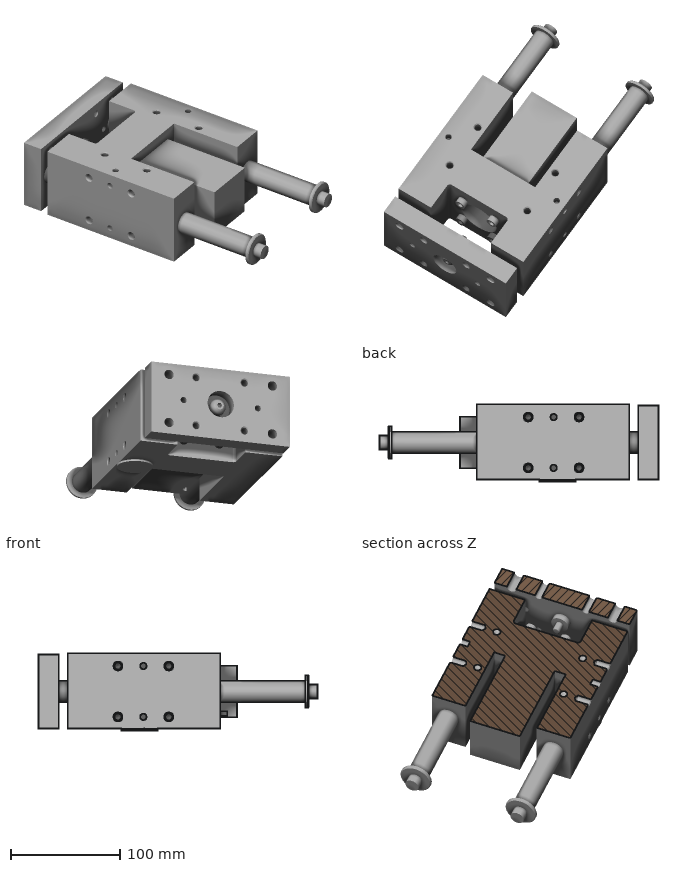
import cadquery as cq
import math

OVERLAP = 1.3

ROD_SPREAD = 52.0
ROD_DIA = 20.0
FLANGE_START = 244.7
FLANGE_DIA = 30.0
FLANGE_THICK = 3.0
FLANGE_CHAMFER = 0.8
STUD_DIA = 13.0
STUD_END = 256.0

PLATE_THICK = 19.0
PLATE_WIDTH = 134.0
PLATE_HEIGHT = 68.0
PLATE_BORE_DIA = 25.3
PLATE_BORE_DEPTH = 12.8
CORNER_HOLE_DIA = 9.0
CORNER_HOLE_Y = 50.0
PLATE_DOWEL_Y = 35.8

COUPLING_DIA = 16.6
COUPLING_LENGTH = 5.6
COUPLING_STEM_DIA = 7.0
COUPLING_STEM_LENGTH = 8.7
STEM_CHAMFER = 0.8
NOSE_DIA = 15.0
NOSE_TIP_DIA = 8.0
NOSE_LENGTH = 9.7
SHOULDER_LENGTH = 1.3
NOSE_SOCKET_DIA = 4.9
NOSE_SOCKET_DEPTH = 3.8

HOUSING_START = 27.0
HOUSING_LENGTH = 140.0
HOUSING_WIDTH = 137.0
HOUSING_BOTTOM = -PLATE_HEIGHT / 2
HOUSING_HEIGHT = 69.0
FRONT_NOTCH_DEPTH = 30.0
FRONT_NOTCH_WIDTH = 65.8
NOTCH_CORNER_RADIUS = 2.8
REAR_NOTCH_START = 97.0
REAR_NOTCH_WIDTH = 70.5
WEB_BORE_DIA = 38.5
HOUSING_TOP = HOUSING_BOTTOM + HOUSING_HEIGHT
HOUSING_END = HOUSING_START + HOUSING_LENGTH
WEB_START = HOUSING_START + FRONT_NOTCH_DEPTH
WEB_THICK = REAR_NOTCH_START - WEB_START

COVER_DIA = 33.3
COVER_THICK = 1.8
COVER_X = 92.7
COVER_Y = (HOUSING_WIDTH - COVER_DIA) / 2

BLOCK_LENGTH = 85.2
BLOCK_WIDTH = 49.5
BLOCK_HEIGHT = 47.5
PORT_X = 170.0
PORT_DIA = 6.5
PORT_HEIGHT = 5.6
PORT_MOUTH_DIA = 10.2
PORT_MOUTH_HEIGHT = 1.8

SCREW_SPREAD = 17.2
SCREW_HEAD_DIA = 10.0
SCREW_HEAD_LENGTH = 5.6
SCREW_SOCKET_DIA = 6.0
SCREW_SOCKET_DEPTH = 3.0

MOUNT_X = 96.3
HOLE_SPREAD = 23.3
TOP_HOLE_Y = 42.5
TOP_DOWEL_Y = 59.5
THREAD_DIA = 6.5
THREAD_MOUTH_DIA = 8.2
THREAD_DEPTH = 12.8
DRILL_TIP_ANGLE = 118.0
DOWEL_DIA = 6.0
DOWEL_DEPTH = 7.7


def box(x_start, length, width, z_bottom, height):
    """Box that is symmetric about the centre plane."""
    return cq.Workplane("XY").box(length, width, height, centered=(False, True, False)).translate(
        (x_start, 0, z_bottom)
    )


def rod_along_x(x_start, length, diameter, y=0, z=0):
    return cq.Workplane("YZ", origin=(x_start, y, z)).circle(diameter / 2).extrude(length)


def disc_upright(x, y, z_bottom, height, diameter):
    return cq.Workplane("XY", origin=(x, y, z_bottom)).circle(diameter / 2).extrude(height)


def hex_socket(x, y, z, diameter, depth):
    return cq.Workplane("YZ", origin=(x, y, z)).polygon(6, diameter).extrude(depth)


def mirrored(spread):
    return (-spread, spread)


def four_corners(spread_a, spread_b):
    return [(a, b) for a in mirrored(spread_a) for b in mirrored(spread_b)]


def drilled_hole(mouth, direction, diameter, depth):
    """Flat-bottomed hole cutter."""
    return cq.Workplane(cq.Solid.makeCylinder(diameter / 2, depth, cq.Vector(*mouth), cq.Vector(*direction)))


def threaded_hole(mouth, direction, depth, pointed):
    """Cutter with a 45 degree mouth chamfer and, if wanted, a conical drill tip."""
    start = cq.Vector(*mouth)
    axis = cq.Vector(*direction)
    mouth_radius = THREAD_MOUTH_DIA / 2
    radius = THREAD_DIA / 2
    cutter = cq.Solid.makeCylinder(radius, depth, start, axis).fuse(
        cq.Solid.makeCone(mouth_radius, radius, mouth_radius - radius, start, axis)
    )
    if pointed:
        tip_length = radius / math.tan(math.radians(DRILL_TIP_ANGLE / 2))
        cutter = cutter.fuse(cq.Solid.makeCone(radius, 0, tip_length, start + axis * depth, axis))
    return cq.Workplane(cutter)


def guide_rod(y):
    rod = rod_along_x(PLATE_THICK - OVERLAP, FLANGE_START - PLATE_THICK + 2 * OVERLAP, ROD_DIA, y)
    flange = rod_along_x(FLANGE_START, FLANGE_THICK, FLANGE_DIA, y).faces(">X").chamfer(FLANGE_CHAMFER)
    stud = rod_along_x(FLANGE_START, STUD_END - FLANGE_START, STUD_DIA, y)
    return rod.union(flange).union(stud)


def tool_plate():
    plate = box(0, PLATE_THICK, PLATE_WIDTH, -PLATE_HEIGHT / 2, PLATE_HEIGHT)
    plate = plate.cut(rod_along_x(0, PLATE_BORE_DEPTH, PLATE_BORE_DIA))
    for y, z in four_corners(CORNER_HOLE_Y, HOLE_SPREAD):
        plate = plate.cut(drilled_hole((0, y, z), (1, 0, 0), CORNER_HOLE_DIA, PLATE_THICK))
    for y, z in four_corners(HOLE_SPREAD, HOLE_SPREAD):
        plate = plate.cut(threaded_hole((0, y, z), (1, 0, 0), PLATE_THICK, pointed=False))
    for y in mirrored(PLATE_DOWEL_Y):
        plate = plate.cut(drilled_hole((0, y, 0), (1, 0, 0), DOWEL_DIA, PLATE_THICK))
    return plate


def ball_nose():
    """Round nose with a spherical end, a flat tip and a hexagonal socket."""
    radius = NOSE_DIA / 2
    tip_radius = NOSE_TIP_DIA / 2
    tip_x = PLATE_BORE_DEPTH - NOSE_LENGTH
    ball_x = tip_x + math.sqrt(radius**2 - tip_radius**2)
    mid_angle = (math.pi / 2 + math.asin(tip_radius / radius)) / 2
    arc_middle = (ball_x - radius * math.cos(mid_angle), radius * math.sin(mid_angle))
    profile = (
        cq.Workplane("XY")
        .moveTo(tip_x, 0)
        .lineTo(tip_x, tip_radius)
        .threePointArc(arc_middle, (ball_x, radius))
        .lineTo(PLATE_BORE_DEPTH + OVERLAP, radius)
        .lineTo(PLATE_BORE_DEPTH + OVERLAP, 0)
        .close()
    )
    nose = profile.revolve(360, (0, 0, 0), (1, 0, 0))
    return nose.cut(hex_socket(tip_x, 0, 0, NOSE_SOCKET_DIA, NOSE_SOCKET_DEPTH))


def coupling():
    """Collar through the plate, with a stem behind it and a shoulder and ball nose in the plate bore."""
    collar_start = PLATE_BORE_DEPTH - SHOULDER_LENGTH
    stem_start = PLATE_THICK + COUPLING_LENGTH
    collar = rod_along_x(collar_start, stem_start - collar_start, COUPLING_DIA)
    stem = rod_along_x(stem_start - OVERLAP, COUPLING_STEM_LENGTH + OVERLAP, COUPLING_STEM_DIA)
    stem = stem.faces(">X").chamfer(STEM_CHAMFER)
    return collar.union(stem).union(ball_nose())


def slider():
    """Moving body: tool plate, coupling and both guide rods."""
    body = tool_plate().union(coupling())
    for y in mirrored(ROD_SPREAD):
        body = body.union(guide_rod(y))
    return body


def housing_block():
    """H-shaped block with bores for the guide rods and the web bore."""
    block = box(HOUSING_START, HOUSING_LENGTH, HOUSING_WIDTH, HOUSING_BOTTOM, HOUSING_HEIGHT)
    front_notch = box(HOUSING_START, FRONT_NOTCH_DEPTH, FRONT_NOTCH_WIDTH, HOUSING_BOTTOM, HOUSING_HEIGHT)
    front_notch = front_notch.edges("|Z and >X").fillet(NOTCH_CORNER_RADIUS)
    rear_notch = box(
        REAR_NOTCH_START, HOUSING_END - REAR_NOTCH_START, REAR_NOTCH_WIDTH, HOUSING_BOTTOM, HOUSING_HEIGHT
    )
    block = block.cut(front_notch).cut(rear_notch)
    block = block.cut(rod_along_x(WEB_START, WEB_THICK, WEB_BORE_DIA))
    for y in mirrored(ROD_SPREAD):
        block = block.cut(rod_along_x(HOUSING_START, HOUSING_LENGTH, ROD_DIA, y))
    return block


def drill_mounting_holes(block):
    """Threaded and dowel holes in the top face and in both outer side faces."""
    for dx, y in four_corners(HOLE_SPREAD, TOP_HOLE_Y):
        mouth = (MOUNT_X + dx, y, HOUSING_TOP)
        block = block.cut(threaded_hole(mouth, (0, 0, -1), THREAD_DEPTH, pointed=True))
    for y in mirrored(TOP_DOWEL_Y):
        block = block.cut(drilled_hole((MOUNT_X, y, HOUSING_TOP), (0, 0, -1), DOWEL_DIA, DOWEL_DEPTH))
    for side in (-1, 1):
        face_y = side * HOUSING_WIDTH / 2
        inward = (0, -side, 0)
        for dx, z in four_corners(HOLE_SPREAD, HOLE_SPREAD):
            block = block.cut(threaded_hole((MOUNT_X + dx, face_y, z), inward, THREAD_DEPTH, pointed=True))
        for z in mirrored(HOLE_SPREAD):
            block = block.cut(drilled_hole((MOUNT_X, face_y, z), inward, DOWEL_DIA, DOWEL_DEPTH))
    return block


def cap_screw(y, z):
    head_start = WEB_START - SCREW_HEAD_LENGTH
    head = rod_along_x(head_start, SCREW_HEAD_LENGTH + OVERLAP, SCREW_HEAD_DIA, y, z)
    return head.cut(hex_socket(head_start, y, z, SCREW_SOCKET_DIA, SCREW_SOCKET_DEPTH))


def drive_block():
    """Block with a stepped half-round port at the lower edge of its -Y side."""
    bottom = -BLOCK_HEIGHT / 2
    side_y = -BLOCK_WIDTH / 2
    mouth_x = PORT_X + (PORT_DIA - PORT_MOUTH_DIA) / 2
    block = box(REAR_NOTCH_START, BLOCK_LENGTH, BLOCK_WIDTH, bottom, BLOCK_HEIGHT)
    block = block.cut(disc_upright(PORT_X, side_y, bottom, PORT_HEIGHT, PORT_DIA))
    return block.cut(disc_upright(mouth_x, side_y, bottom, PORT_MOUTH_HEIGHT, PORT_MOUTH_DIA))


def housing():
    """Fixed body: H-shaped block, cover disc, cap screw heads and drive block."""
    body = drill_mounting_holes(housing_block())
    cover_height = COVER_THICK + OVERLAP
    body = body.union(disc_upright(COVER_X, COVER_Y, HOUSING_BOTTOM - COVER_THICK, cover_height, COVER_DIA))
    for y, z in four_corners(SCREW_SPREAD, SCREW_SPREAD):
        body = body.union(cap_screw(y, z))
    return body.union(drive_block())


result = cq.Compound.makeCompound([slider().solids().val(), housing().solids().val()])